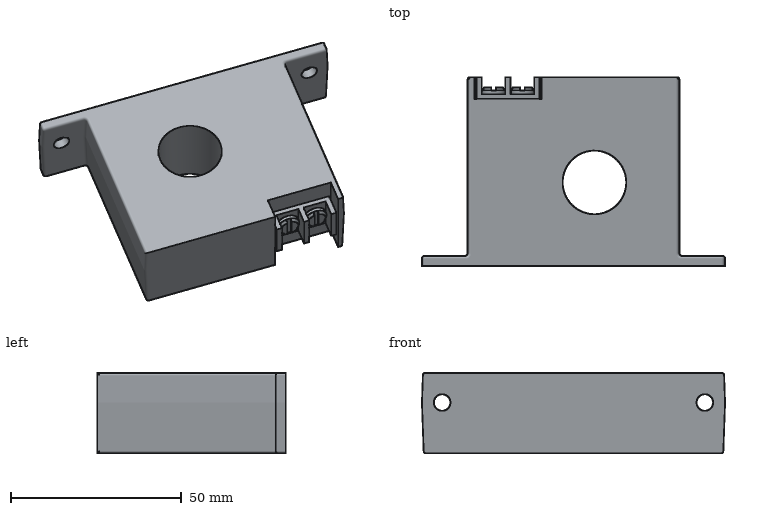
import cadquery as cq
import math

flange_width = 88.9
body_width = 62.1
depth = 55.4
height = 23.65
flange_thickness = 3.0
parting_height = 14.9
draft_angle = 2.0
edge_radius = 0.8

bore_diameter = 18.6
bore_x = 6.1
bore_y = 24.5
mounting_hole_diameter = 4.8
mounting_hole_spacing = 77.0

terminal_x = -19.2
terminal_wall = 1.6
terminal_opening = 6.85
terminal_floor = 1.4
terminal_depth = 6.4
terminal_height = 10.7
terminal_clearance = 0.5
screw_count = 2
terminal_width = screw_count * terminal_opening + (screw_count + 1) * terminal_wall
terminal_mid_z = height / 2
terminal_back_y = depth - terminal_depth
terminal_floor_y = terminal_back_y + terminal_floor
screw_pitch = terminal_opening + terminal_wall
screw_offsets = [(i - (screw_count - 1) / 2) * screw_pitch for i in range(screw_count)]

screw_diameter = 6.8
screw_head_height = 2.0
screw_chamfer_height = 0.9
screw_chamfer_width = 0.6
screw_slot_width = 1.3
screw_slot_depth = 0.9

TOLERANCE = 0.01


def drafted_slab(width, length):
    """Slab from Y = 0 whose side walls taper away from the parting plane."""
    taper = math.tan(math.radians(draft_angle))
    half_mid = width / 2
    half_bottom = half_mid - parting_height * taper
    half_top = half_mid - (height - parting_height) * taper
    outline = [
        (-half_bottom, 0),
        (half_bottom, 0),
        (half_mid, parting_height),
        (half_top, height),
        (-half_top, height),
        (-half_mid, parting_height),
    ]
    return cq.Workplane("XZ").polyline(outline).close().extrude(-length)


def is_upright_at(edge, y):
    return edge.BoundingBox().zlen > TOLERANCE and abs(edge.Center().y - y) < TOLERANCE


def is_side_rim(edge):
    """Edge around a side wall or flange wing, leaving both end faces sharp at top and bottom."""
    box = edge.BoundingBox()
    level = box.zmax < TOLERANCE or box.zmin > height - TOLERANCE
    in_end_face = box.ymax < TOLERANCE or box.ymin > depth - TOLERANCE
    return (level and not in_end_face) or is_upright_at(edge, depth)


def round_edges(solid):
    solid = solid.fillet(edge_radius, [e for e in solid.Edges() if is_upright_at(e, flange_thickness)])
    return solid.fillet(edge_radius, [e for e in solid.Edges() if is_side_rim(e)])


def make_housing():
    blank = drafted_slab(flange_width, flange_thickness).union(drafted_slab(body_width, depth))
    housing = cq.Workplane(round_edges(blank.val()))

    bore = cq.Workplane("XY").center(bore_x, bore_y).circle(bore_diameter / 2).extrude(height)
    mounting_holes = (
        cq.Workplane("XZ")
        .pushPoints([(side * mounting_hole_spacing / 2, parting_height) for side in (-1, 1)])
        .circle(mounting_hole_diameter / 2)
        .extrude(-flange_thickness)
    )
    notch_width = terminal_width + 2 * terminal_clearance
    terminal_notch = (
        cq.Workplane("XY")
        .box(notch_width, terminal_depth, height, centered=(True, False, False))
        .translate((terminal_x, terminal_back_y, 0))
    )
    return housing.cut(bore).cut(mounting_holes).cut(terminal_notch)


def make_terminal_block():
    block = cq.Workplane("XY").box(
        terminal_width, terminal_depth, terminal_height, centered=(True, False, True)
    )
    opening = (
        cq.Workplane("XY")
        .box(terminal_opening, terminal_depth, terminal_height, centered=(True, False, True))
        .translate((0, terminal_floor, 0))
    )
    for offset in screw_offsets:
        block = block.cut(opening.translate((offset, 0, 0)))
    return block.translate((terminal_x, terminal_back_y, terminal_mid_z))


def make_screw(offset):
    """Slotted screw head standing on the terminal floor, its axis along Y."""
    radius = screw_diameter / 2
    half_profile = [
        (0, 0),
        (radius, 0),
        (radius, screw_head_height - screw_chamfer_height),
        (radius - screw_chamfer_width, screw_head_height),
        (0, screw_head_height),
    ]
    head = cq.Workplane("XY").polyline(half_profile).close().revolve(360, (0, 0), (0, 1))
    slot = (
        cq.Workplane("XY")
        .box(screw_slot_width, screw_slot_depth, screw_diameter, centered=(True, False, True))
        .translate((0, screw_head_height - screw_slot_depth, 0))
    )
    return head.cut(slot).translate((terminal_x + offset, terminal_floor_y, terminal_mid_z))


housing = make_housing()
terminal_block = make_terminal_block()
screws = [make_screw(offset).val() for offset in screw_offsets]

result = cq.Compound.makeCompound([housing.val(), terminal_block.val(), *screws])